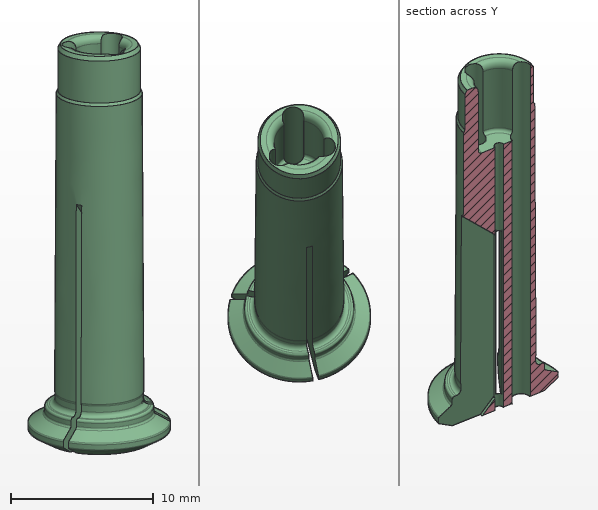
import cadquery as cq
import math

total_length = 29.0
slope_angle = 30.0
slope = math.tan(math.radians(slope_angle))

flange_radius = 5.0
flange_base_radius = 3.83
flange_rim_height = 0.5
flange_edge_fillet = 0.12
flange_base_rise = (flange_radius - flange_base_radius) * slope
flange_rim_top = flange_base_rise + flange_rim_height

collar_radius = 3.83
collar_top = 2.5
collar_edge_fillet = 0.2
collar_root_fillet = 0.2
collar_base = flange_rim_top + (flange_radius - collar_radius) * slope

neck_radius = 3.1
neck_root_fillet = 0.38
neck_top = 3.33
body_bottom = 3.47
body_bottom_radius = 3.13
body_top = 25.4
body_top_radius = 3.02

spigot_radius = 2.9
spigot_shoulder_rise = (body_top_radius - spigot_radius) / slope
spigot_chamfer_height = 0.3
spigot_chamfer_width = spigot_chamfer_height * slope

socket_radius = 1.75
socket_mouth_radius = 2.3
socket_depth = 6.0
socket_floor_fillet = 0.26

core_hole_diameter = 0.7
side_hole_diameter = 1.5
side_hole_pitch_radius = 1.85
side_hole_count = 3

slit_count = 3
first_slit_direction = 180.0
slit_width = 0.42
slit_top = 18.0
slit_end_angle = 45.0
slit_overshoot = 1.0
slit_lower_ramp_height = 1.1


def make_body():
    """Revolved outer shape, from the flange to the spigot."""
    outline = (
        cq.Workplane("XZ")
        .moveTo(0, 0)
        .lineTo(flange_base_radius, 0)
        .lineTo(flange_radius, flange_base_rise)
        .lineTo(flange_radius, flange_rim_top)
        .lineTo(collar_radius, collar_base)
        .lineTo(collar_radius, collar_top)
        .lineTo(neck_radius, collar_top)
        .lineTo(neck_radius, neck_top)
        .lineTo(body_bottom_radius, body_bottom)
        .lineTo(body_top_radius, body_top)
        .lineTo(spigot_radius, body_top + spigot_shoulder_rise)
        .lineTo(spigot_radius, total_length - spigot_chamfer_height)
        .lineTo(spigot_radius - spigot_chamfer_width, total_length)
        .lineTo(0, total_length)
        .close()
    )
    body = outline.revolve(360, (0, 0, 0), (0, 1, 0))
    body = fillet_ring(body, flange_radius, flange_base_rise, flange_edge_fillet)
    body = fillet_ring(body, flange_radius, flange_rim_top, flange_edge_fillet)
    body = fillet_ring(body, collar_radius, collar_base, collar_root_fillet)
    body = fillet_ring(body, collar_radius, collar_top, collar_edge_fillet)
    return fillet_ring(body, neck_radius, collar_top, neck_root_fillet)


def fillet_ring(body, radius, height, fillet_radius):
    """Round the circular edge of the given radius and height."""
    reach = 0.01
    outer = radius + reach
    box = cq.selectors.BoxSelector(
        (-outer, -outer, height - reach), (outer, outer, height + reach), boundingbox=True
    )
    return body.edges(box).edges(cq.selectors.RadiusNthSelector(-1)).fillet(fillet_radius)


def make_socket():
    """Round socket with a rounded mouth and a rounded floor corner."""
    mouth_round = socket_mouth_radius - socket_radius
    floor = total_length - socket_depth
    diagonal = math.sqrt(0.5)
    mouth_middle = (
        socket_mouth_radius - mouth_round * diagonal,
        total_length - mouth_round * (1 - diagonal),
    )
    floor_middle = (
        socket_radius - socket_floor_fillet * (1 - diagonal),
        floor + socket_floor_fillet * (1 - diagonal),
    )
    return (
        cq.Workplane("XZ")
        .moveTo(0, floor)
        .lineTo(socket_radius - socket_floor_fillet, floor)
        .threePointArc(floor_middle, (socket_radius, floor + socket_floor_fillet))
        .lineTo(socket_radius, total_length - mouth_round)
        .threePointArc(mouth_middle, (socket_mouth_radius, total_length))
        .lineTo(0, total_length)
        .close()
        .revolve(360, (0, 0, 0), (0, 1, 0))
    )


def make_holes():
    """Core hole on the axis and the side holes around it, all through."""
    core = cq.Workplane("XY").circle(core_hole_diameter / 2).extrude(total_length)
    sides = (
        cq.Workplane("XY")
        .polarArray(side_hole_pitch_radius, 0, 360, side_hole_count)
        .circle(side_hole_diameter / 2)
        .extrude(total_length)
    )
    return core.union(sides)


def make_slit(direction):
    """Radial slit from the axis outwards, sloping at both ends."""
    end_slope = math.tan(math.radians(slit_end_angle))
    outside = flange_radius + slit_overshoot
    core_radius = core_hole_diameter / 2
    lower_ramp_foot = core_radius + slit_lower_ramp_height / end_slope
    return (
        cq.Workplane("XZ")
        .moveTo(0, slit_lower_ramp_height)
        .lineTo(core_radius, slit_lower_ramp_height)
        .lineTo(lower_ramp_foot, 0)
        .lineTo(outside, 0)
        .lineTo(outside, slit_top + (outside - body_top_radius) * end_slope)
        .lineTo(0, slit_top - body_top_radius * end_slope)
        .close()
        .extrude(slit_width / 2, both=True)
        .rotate((0, 0, 0), (0, 0, 1), direction)
    )


result = make_body().cut(make_socket()).cut(make_holes())
for index in range(slit_count):
    result = result.cut(make_slit(first_slit_direction + index * 360 / slit_count))